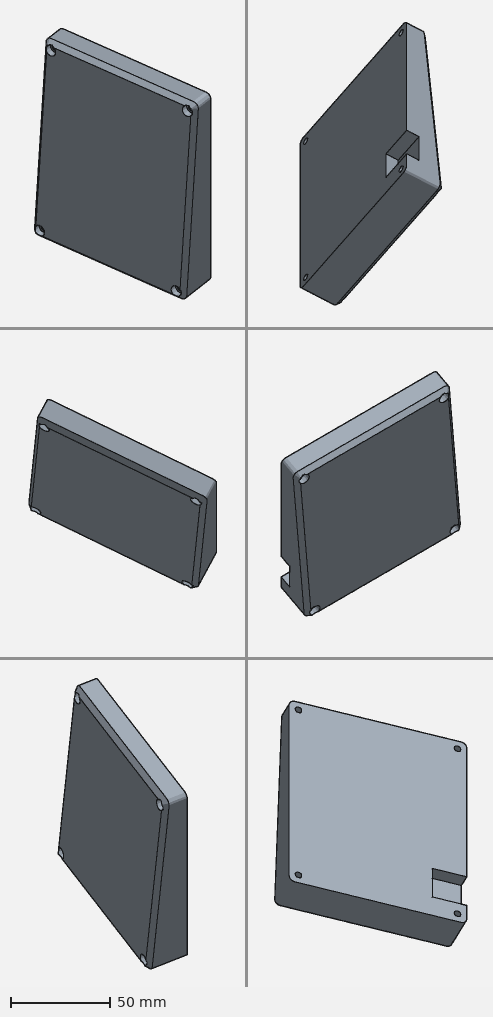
import cadquery as cq
import math

width = 96.2
height = 117.0
depth = 22.9

slope_angle = 5.0
corner_radius = 3.2
front_chamfer = 2.6

hole_inset = 5.0
hole_diameter = 3.5
counterbore_diameter = 6.0
counterbore_depth = 3.5

notch_bottom = 11.9
notch_height = 18.5
notch_depth = 7.5
notch_length = 18.7

slope = math.radians(slope_angle)
bottom_depth = depth + front_chamfer * math.sin(slope)
top_depth = bottom_depth - height * math.tan(slope)


def wedge_body():
    """Wedge with a flat back at Y = 0, rounded corners and a chamfered front rim."""
    profile = [(0, 0), (-bottom_depth, 0), (-top_depth, height), (0, height)]
    wedge = cq.Workplane("YZ").polyline(profile).close().extrude(width / 2, both=True)
    rounded = wedge.edges("|Y").fillet(corner_radius)
    return rounded.faces("<Y").chamfer(front_chamfer)


def screw_hole(x, z):
    """Through hole along Y, with a counterbore sunk below the sloping face."""
    face_distance = bottom_depth - z * math.tan(slope)
    floor_distance = face_distance - counterbore_depth
    back = cq.Workplane("XZ").center(x, z)
    shank = back.circle(hole_diameter / 2).extrude(depth)
    counterbore = (
        back.workplane(offset=floor_distance)
        .circle(counterbore_diameter / 2)
        .extrude(depth)
    )
    return shank.union(counterbore)


def side_notch():
    """Rectangular pocket in the back edge of the -X side."""
    block = cq.Workplane("XY").box(notch_length, notch_depth, notch_height, centered=False)
    return block.translate((-width / 2, -notch_depth, notch_bottom))


result = wedge_body().cut(side_notch())
for hole_x in (hole_inset - width / 2, width / 2 - hole_inset):
    for hole_z in (hole_inset, height - hole_inset):
        result = result.cut(screw_hole(hole_x, hole_z))